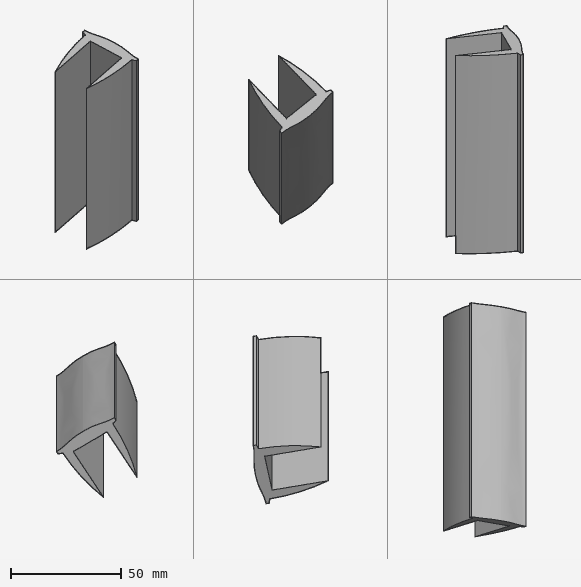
import cadquery as cq

length = 100.0
width = 31.0
depth = 32.0

flange_x = width / 2
shoulder_x = 13.4
slot_x = 9.0

crown_y = depth / 2
tip_y = crown_y - depth
flange_top_y = crown_y - 1.9
flange_edge_y = crown_y - 3.4
shoulder_y = crown_y - 4.1
slot_floor_y = crown_y - 6.0

crown_handle = 8.0
flange_handle = 6.0
back_curve = [
    (0, crown_y),
    (crown_handle, crown_y),
    (flange_x - flange_handle, flange_top_y),
    (flange_x, flange_top_y),
]

leg_drop = shoulder_y - tip_y
leg_taper = shoulder_x - slot_x
leg_radius = (leg_drop**2 + leg_taper**2) / (2 * leg_taper)

half_outline = (
    cq.Workplane("XY", origin=(0, 0, -length / 2))
    .moveTo(0, crown_y)
    .bezier(back_curve)
    .lineTo(flange_x, flange_edge_y)
    .lineTo(shoulder_x, shoulder_y)
    .radiusArc((slot_x, tip_y), leg_radius)
    .lineTo(slot_x, slot_floor_y)
    .lineTo(0, slot_floor_y)
)

result = half_outline.mirrorY().extrude(length)